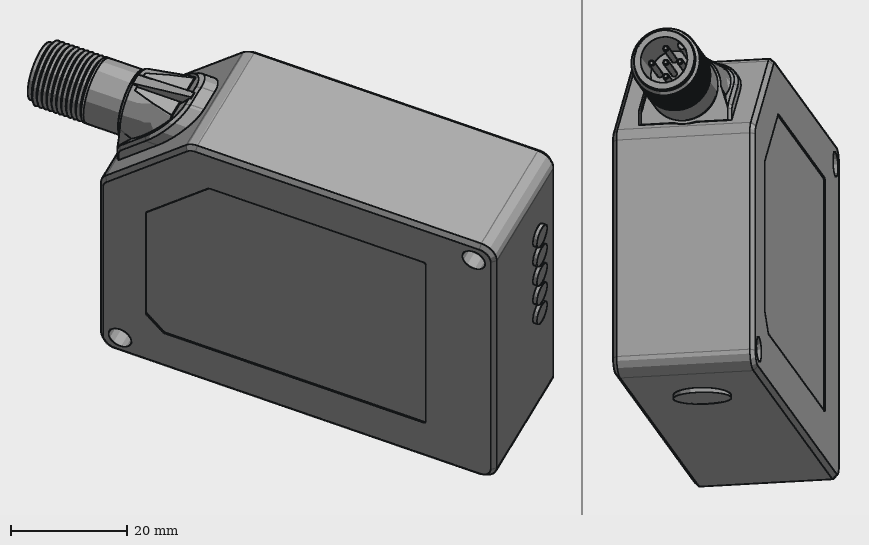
import cadquery as cq
import math

length = 75.0
width = 25.0
height = 60.0
corner_cut = 17.0
corner_radius = 3.0
rim_bevel = 0.8
front_y = -width / 2

mount_diameter = 4.3
mount_inset = 4.0

label_left = 8.9
label_right = 61.9
label_bottom = 9.1
label_top = 50.9
label_large_cut = 12.0
label_small_cut = 3.4
label_corner_radius = 0.5
label_depth = 0.25

button_count = 5
button_diameter = 4.2
button_height = 0.77
button_pitch = 5.0
button_y = 5.3
button_first_z = 26.1

lens_diameter = 10.0
lens_x = 16.75
lens_drop = 0.83
lens_tilt = 4.2
lens_thickness = 1.5

plug_z = 50.7
plug_tip_x = -16.82
plug_radius = 6.0
plug_tip_radius = 5.3
plug_tip_length = 0.8
plug_neck_x = 0.6
plug_neck_radius = 5.7
thread_end_x = -5.9
thread_turns = 11
thread_root_radius = 5.4
bore_radius = 4.1
bore_depth = 9.0
pin_radius = 0.5
pin_circle_radius = 2.5
pin_tip_bevel = 0.15
pin_setback = 1.5
key_radius = 0.75
key_angle = 45.0

outlet_x = 1.2
outlet_half_width = 8.2
outlet_bottom = 44.6
outlet_top = 58.2
outlet_corner_radius = 6.0
pad_rise = 3.15
pad_edge_bevel = 0.6
hood_end_x = 10.2
hood_start_radius = 6.4
hood_end_half_width = 8.0
hood_end_half_height = 7.6
hood_flat_x = 2.1
hood_flat_rise = 6.15
rib_base_width = 2.6
rib_top_width = 1.2
rib_start_rise = 0.1
embed = 1.0


def x_cylinder(x_start, x_end, radius, y, z):
    """Cylinder along X between two X positions."""
    plane = cq.Workplane("YZ", origin=(x_start, y, z))
    return plane.circle(radius).extrude(x_end - x_start)


def cut_face_z(x, rise=0.0):
    """Height of the 45 degree face at x, optionally shifted up."""
    return height - corner_cut + x + rise


def make_housing():
    outline = [
        (0, 0),
        (length, 0),
        (length, height),
        (corner_cut, height),
        (0, height - corner_cut),
    ]
    body = cq.Workplane("XZ", origin=(0, width / 2, 0)).polyline(outline).close().extrude(width)
    body = body.edges("|Y").fillet(corner_radius)
    body = body.faces("<Y or >Y").edges().chamfer(rim_bevel)
    holes = [
        (mount_inset, mount_inset),
        (length - mount_inset, height - mount_inset),
    ]
    drill = cq.Workplane("XZ", origin=(0, width / 2, 0)).pushPoints(holes)
    return body.cut(drill.circle(mount_diameter / 2).extrude(width))


def make_label_recess():
    outline = [
        (label_left + label_small_cut, label_bottom),
        (label_right, label_bottom),
        (label_right, label_top),
        (label_left + label_large_cut, label_top),
        (label_left, label_top - label_large_cut),
        (label_left, label_bottom + label_small_cut),
    ]
    plane = cq.Workplane("XZ", origin=(0, front_y + label_depth, 0))
    recess = plane.polyline(outline).close().extrude(label_depth)
    return recess.edges("|Y").fillet(label_corner_radius)


def make_button(index):
    z = button_first_z + index * button_pitch
    return x_cylinder(length - embed, length + button_height, button_diameter / 2, button_y, z)


def make_lens():
    tilt = math.radians(lens_tilt)
    center_z = lens_diameter / 2 * math.sin(tilt) - lens_drop
    plane = cq.Plane(
        origin=(lens_x, 0, center_z),
        xDir=(math.cos(tilt), 0, math.sin(tilt)),
        normal=(-math.sin(tilt), 0, math.cos(tilt)),
    )
    return cq.Workplane(plane).circle(lens_diameter / 2).extrude(lens_thickness)


def make_plug_shell():
    """Turned plug body; the thread is a row of V-shaped ridges."""
    thread_start_x = plug_tip_x + plug_tip_length
    pitch = (thread_end_x - thread_start_x) / thread_turns
    profile = [
        (plug_tip_x, 0),
        (plug_tip_x, plug_tip_radius),
        (thread_start_x, plug_tip_radius),
    ]
    for turn in range(thread_turns):
        root_x = thread_start_x + turn * pitch
        profile.append((root_x, thread_root_radius))
        profile.append((root_x + pitch / 2, plug_radius))
    profile += [
        (thread_end_x, thread_root_radius),
        (thread_end_x, plug_radius),
        (plug_neck_x, plug_radius),
        (plug_neck_x, plug_neck_radius),
        (outlet_x + embed, plug_neck_radius),
        (outlet_x + embed, 0),
    ]
    plane = cq.Workplane("XZ", origin=(0, 0, plug_z))
    return plane.polyline(profile).close().revolve(360, (0, 0, 0), (1, 0, 0))


def make_plug():
    floor_x = plug_tip_x + bore_depth
    plug = make_plug_shell().cut(x_cylinder(plug_tip_x, floor_x, bore_radius, 0, plug_z))
    pins = [(0, 0)]
    for quarter in range(4):
        angle = math.radians(90 * quarter)
        pins.append((pin_circle_radius * math.cos(angle), pin_circle_radius * math.sin(angle)))
    for pin_y, pin_z in pins:
        pin = x_cylinder(plug_tip_x + pin_setback, floor_x + embed, pin_radius, pin_y, plug_z + pin_z)
        pin = pin.faces("<X").chamfer(pin_tip_bevel)
        plug = plug.union(pin)
    angle = math.radians(key_angle)
    key_y = -bore_radius * math.cos(angle)
    key_z = plug_z + bore_radius * math.sin(angle)
    return plug.union(x_cylinder(plug_tip_x + pin_setback, floor_x + embed, key_radius, key_y, key_z))


def make_pad():
    """Round-topped block trimmed parallel to the 45 degree face."""
    end_x = corner_cut
    mid_z = (outlet_bottom + outlet_top) / 2
    block = cq.Workplane("YZ", origin=(outlet_x, 0, mid_z))
    block = block.rect(2 * outlet_half_width, outlet_top - outlet_bottom).extrude(end_x - outlet_x)
    block = block.edges("|X and >Z").fillet(outlet_corner_radius)
    strip = [
        (outlet_x, cut_face_z(outlet_x, -embed)),
        (end_x, cut_face_z(end_x, -embed)),
        (end_x, cut_face_z(end_x, pad_rise)),
        (outlet_x, cut_face_z(outlet_x, pad_rise)),
    ]
    plane = cq.Workplane("XZ", origin=(0, outlet_half_width, 0))
    pad = block.intersect(plane.polyline(strip).close().extrude(2 * outlet_half_width))
    sloped_face = pad.faces(cq.selectors.DirectionMinMaxSelector(cq.Vector(-1, 0, 1), True))
    front_sides = pad.faces("<X").edges("|Z")
    return sloped_face.edges().add(front_sides).chamfer(pad_edge_bevel)


def make_gusset():
    """Sloped shoulders that join the round hood to the sides of the pad."""
    half_width = outlet_half_width - pad_edge_bevel
    shoulder_z = cut_face_z(outlet_x, pad_rise - pad_edge_bevel)
    section = [
        (-half_width, outlet_bottom),
        (half_width, outlet_bottom),
        (half_width, shoulder_z),
        (hood_start_radius, plug_z),
        (-hood_start_radius, plug_z),
        (-half_width, shoulder_z),
    ]
    plane = cq.Workplane("YZ", origin=(outlet_x, 0, 0))
    return plane.polyline(section).close().extrude(hood_end_x - outlet_x)


def make_rib():
    """Tapered rib along the top of the hood, rising to the rim of the pad."""
    flat_z = plug_z + hood_flat_rise
    start_z = plug_z + hood_start_radius + rib_start_rise
    end_x = outlet_top - cut_face_z(0, pad_rise)
    section = [
        (-rib_base_width / 2, flat_z - embed),
        (rib_base_width / 2, flat_z - embed),
        (rib_base_width / 2, flat_z),
        (rib_top_width / 2, outlet_top),
        (-rib_top_width / 2, outlet_top),
        (-rib_base_width / 2, flat_z),
    ]
    side = [
        (outlet_x, flat_z - embed),
        (outlet_x, start_z),
        (end_x, outlet_top),
        (end_x, flat_z - embed),
    ]
    bar = cq.Workplane("YZ", origin=(outlet_x, 0, 0)).polyline(section).close().extrude(end_x - outlet_x)
    plane = cq.Workplane("XZ", origin=(0, rib_base_width / 2, 0))
    return bar.intersect(plane.polyline(side).close().extrude(rib_base_width))


def make_hood():
    """Flared cone from the plug to the pad, flattened on top beside its rib."""
    hood = (
        cq.Workplane("YZ", origin=(outlet_x, 0, plug_z))
        .circle(hood_start_radius)
        .workplane(offset=hood_end_x - outlet_x)
        .ellipse(hood_end_half_width, hood_end_half_height)
        .loft()
    )
    flat_cut = cq.Workplane("XY", origin=(hood_flat_x, 0, plug_z + hood_flat_rise)).box(
        hood_end_x, width, height, centered=(False, True, False)
    )
    return hood.cut(flat_cut).union(make_gusset()).union(make_rib())


result = make_housing().cut(make_label_recess())
for button_index in range(button_count):
    result = result.union(make_button(button_index))
result = result.union(make_lens())
result = result.union(make_pad())
result = result.union(make_hood())
result = result.union(make_plug())